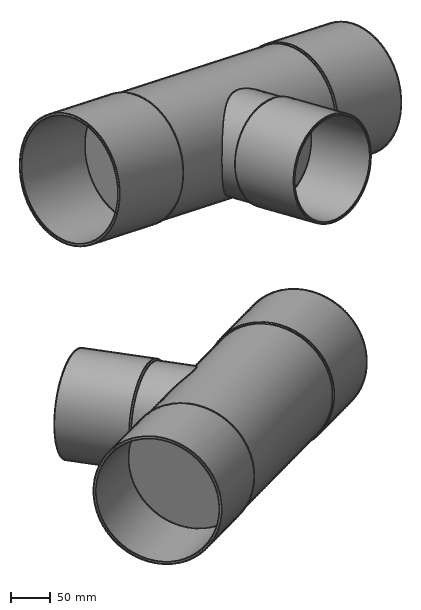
import cadquery as cq

run_length = 526.0
run_diameter = 172.0
run_socket_diameter = 175.0
run_socket_bore = 168.5
run_socket_length = 118.5

branch_reach = 212.75
branch_diameter = 141.0
branch_socket_diameter = 145.0
branch_socket_bore = 140.0
branch_socket_length = 102.0

shoulder_length = 2.0


def socketed_half(reach, pipe_diameter, socket_diameter, socket_length):
    """Solid pipe along +X from the origin, widening to a socket at its far end."""
    pipe_radius = pipe_diameter / 2
    socket_radius = socket_diameter / 2
    socket_start = reach - socket_length
    profile = (
        cq.Workplane("XY")
        .lineTo(0, pipe_radius)
        .lineTo(socket_start - shoulder_length, pipe_radius)
        .lineTo(socket_start, socket_radius)
        .lineTo(reach, socket_radius)
        .lineTo(reach, 0)
        .close()
    )
    return profile.revolve(360, (0, 0, 0), (1, 0, 0))


def socket_cavity(reach, bore, depth):
    """Blind socket bore, open at the far end of a pipe along +X."""
    return cq.Workplane("YZ").workplane(offset=reach - depth).circle(bore / 2).extrude(depth)


def turned(shape, angle):
    """Turn a shape about the vertical axis through the tee centre."""
    return shape.rotate((0, 0, 0), (0, 0, 1), angle)


run_half = socketed_half(run_length / 2, run_diameter, run_socket_diameter, run_socket_length)
run_cavity = socket_cavity(run_length / 2, run_socket_bore, run_socket_length)
result = socketed_half(branch_reach, branch_diameter, branch_socket_diameter, branch_socket_length)
run_directions = (90, -90)
for angle in run_directions:
    result = result.union(turned(run_half, angle))

result = result.cut(socket_cavity(branch_reach, branch_socket_bore, branch_socket_length))
for angle in run_directions:
    result = result.cut(turned(run_cavity, angle))